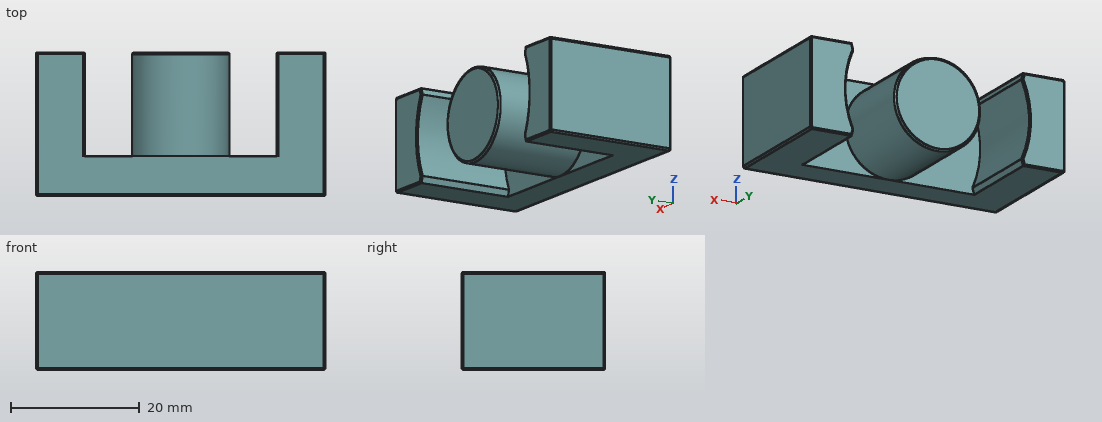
import cadquery as cq
import math

width = 45.0
depth = 22.3
height = 15.2
edge_chamfer = 0.3
tip_chamfer = 0.22

post_diameter = height
back_thickness = 6.2
window_depth = depth - back_thickness
mouth_half_width = 15.15
throat_half_width = 14.85
lip_height = 1.1
window_radius = math.hypot(throat_half_width, height / 2 - lip_height)


def make_block():
    """Outer block; the mating face (+Y) is chamfered once the legs are cut."""
    block = cq.Workplane("XY").box(width, depth, height)
    return block.edges("not >Y").chamfer(edge_chamfer)


def make_window():
    """Opening between the outer legs, concave around the post axis."""
    top = height / 2
    lip = top - lip_height
    return (
        cq.Workplane("XZ", origin=(0, depth / 2, 0))
        .moveTo(-mouth_half_width, top)
        .lineTo(mouth_half_width, top)
        .lineTo(throat_half_width, lip)
        .threePointArc((window_radius, 0), (throat_half_width, -lip))
        .lineTo(mouth_half_width, -top)
        .lineTo(-mouth_half_width, -top)
        .lineTo(-throat_half_width, -lip)
        .threePointArc((-window_radius, 0), (-throat_half_width, lip))
        .close()
        .extrude(window_depth)
    )


def make_post():
    """Round centre post from the back wall to the mating face."""
    return (
        cq.Workplane("XZ", origin=(0, depth / 2, 0))
        .circle(post_diameter / 2)
        .extrude(window_depth)
        .faces(">Y")
        .chamfer(edge_chamfer)
    )


legs_and_back = make_block().cut(make_window()).faces(">Y").chamfer(tip_chamfer)
result = legs_and_back.union(make_post())